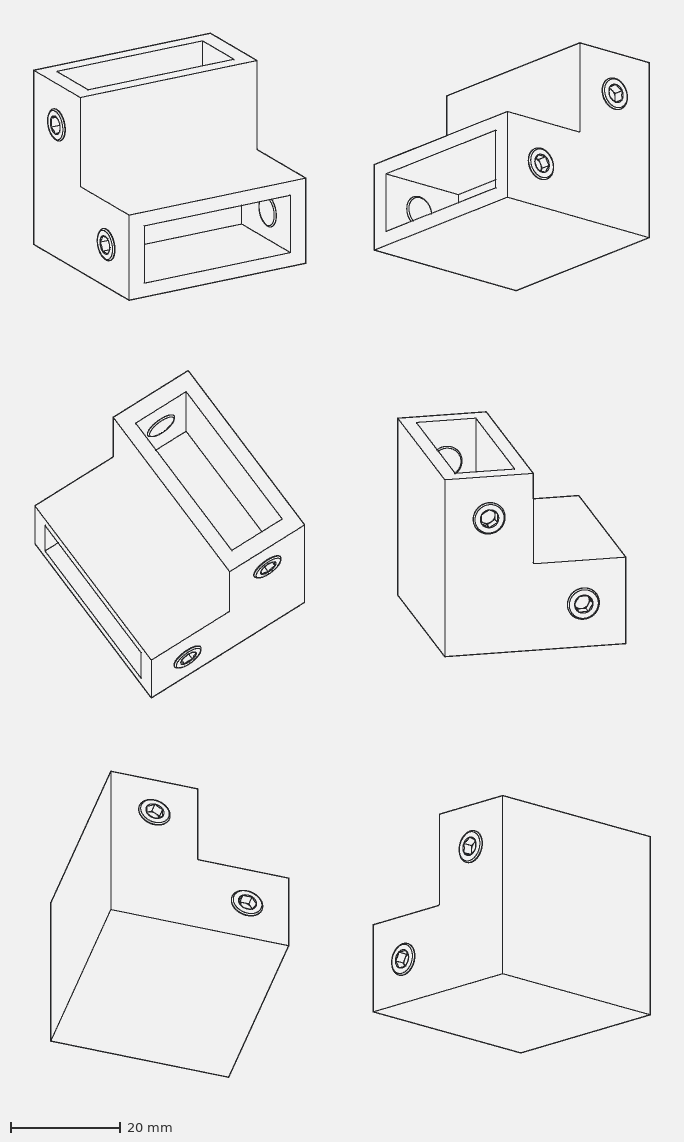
import cadquery as cq
import math

LEG = 34.0
ARM = 16.63
WIDTH = 37.65
SIDE_WALL = 2.73
END_WALL = 3.3
SOCKET_DEPTH = LEG - ARM
CORNER_FILLET = 0.23

SCREW_DIAMETER = 6.0
SCREW_LENGTH = 4.0
SCREW_CHAMFER = 0.25
SCREW_PROTRUSION = 0.4
SCREW_INSET = 8.0
HEX_FLATS = 3.0
HEX_DEPTH = 2.0
HEX_CORNERS = HEX_FLATS / math.cos(math.pi / 6)
DRILL_POINT_ANGLE = 118

SCREW_AXES = [
    (ARM / 2, LEG - SCREW_INSET, 90),
    (LEG - SCREW_INSET, ARM / 2, 0),
]


def cone_tool(diameter, angle, mouth):
    """Cone of the given mouth diameter and included angle, narrowing downward from z = mouth."""
    radius = diameter / 2
    height = radius / math.tan(math.radians(angle / 2))
    return cq.Workplane(cq.Solid.makeCone(0, radius, height)).translate((0, 0, mouth - height))


def make_set_screw(hex_turn):
    """Screw along Z with its driven end at z = 0 and its flat tip at z = -SCREW_LENGTH."""
    body = (
        cq.Workplane("XY")
        .circle(SCREW_DIAMETER / 2)
        .extrude(-SCREW_LENGTH)
        .edges()
        .chamfer(SCREW_CHAMFER)
    )
    hexagon = (
        cq.Workplane("XY")
        .polygon(6, HEX_CORNERS)
        .extrude(-HEX_DEPTH)
        .rotate((0, 0, 0), (0, 0, 1), hex_turn)
    )
    drill_point = cone_tool(HEX_FLATS, DRILL_POINT_ANGLE, -HEX_DEPTH)
    countersink = cone_tool(HEX_CORNERS, DRILL_POINT_ANGLE, 0)
    return body.cut(hexagon).cut(drill_point).cut(countersink)


def make_housing():
    elbow = (
        cq.Workplane("XZ")
        .polyline([(0, 0), (LEG, 0), (LEG, ARM), (ARM, ARM), (ARM, LEG), (0, LEG)])
        .close()
        .extrude(WIDTH / 2, both=True)
    )
    inner_corner = cq.selectors.NearestToPointSelector((ARM, 0, ARM))
    elbow = elbow.edges(inner_corner).fillet(CORNER_FILLET)

    socket_height = ARM - 2 * SIDE_WALL
    socket_width = WIDTH - 2 * END_WALL
    z_socket = (
        cq.Workplane("XY")
        .box(socket_height, socket_width, SOCKET_DEPTH)
        .translate((ARM / 2, 0, LEG - SOCKET_DEPTH / 2))
    )
    x_socket = (
        cq.Workplane("XY")
        .box(SOCKET_DEPTH, socket_width, socket_height)
        .translate((LEG - SOCKET_DEPTH / 2, 0, ARM / 2))
    )
    housing = elbow.cut(z_socket).cut(x_socket)

    for x, z, _ in SCREW_AXES:
        screw_hole = (
            cq.Workplane("XZ")
            .center(x, z)
            .circle(SCREW_DIAMETER / 2)
            .extrude(WIDTH / 2, both=True)
        )
        housing = housing.cut(screw_hole)
    return housing


def make_set_screws():
    """One screw in each Y side of each arm, driven from the outside."""
    screws = []
    head_y = WIDTH / 2 + SCREW_PROTRUSION
    for x, z, hex_turn in SCREW_AXES:
        screw = make_set_screw(hex_turn)
        for side in (-1, 1):
            placed = screw.rotate((0, 0, 0), (1, 0, 0), -90 * side)
            screws.append(placed.translate((x, side * head_y, z)))
    return screws


housing = make_housing()
set_screws = make_set_screws()

result = cq.Compound.makeCompound([housing.val(), *[screw.val() for screw in set_screws]])